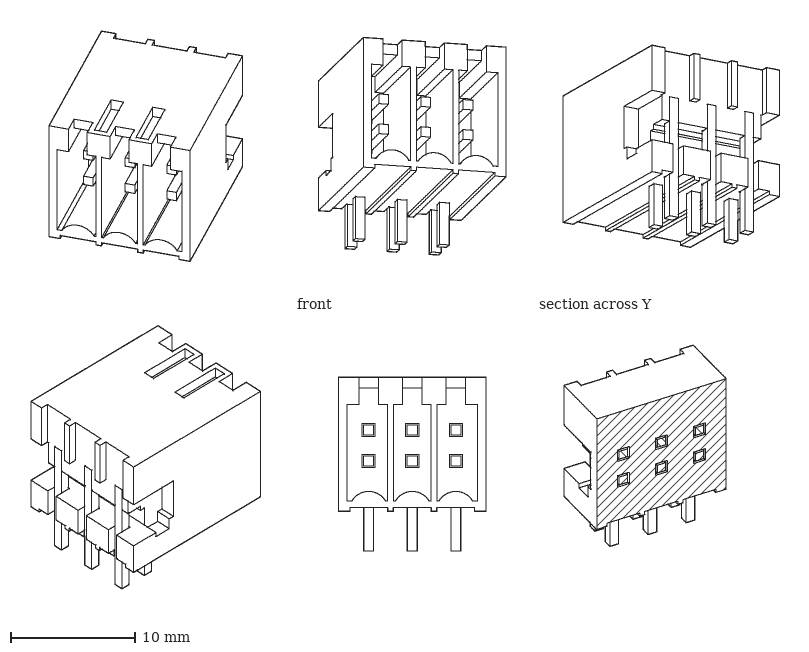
import cadquery as cq


WIDTH = 11.9
DEPTH = 14.2
TOTAL_HEIGHT = 14.0
HEIGHT = 10.8
PITCH = 3.51
POLE_X = [-PITCH, 0, PITCH]
DIVIDER_X = [-PITCH / 2, PITCH / 2]

SIDE_WALL = 0.7
DIVIDER_WALL = 0.5
CHAMBER_DEPTH = 8.52
FLOOR_Z = 0.82
SHOULDER_Z = 8.62
CEILING_Z = 9.94
CHANNEL_WIDTH = 1.58
ROOF_NOTCH_DEPTH = 1.5
BUMP_RADIUS = 1.58
BUMP_TOP_Z = 1.6

SLOT_WIDTH = 1.04
SLOT_LENGTH = 4.52
SLOT_DEPTH = 0.91
SLOT_FRONT_Y = 0.51

FOOT_HEIGHT = 0.3
OUTER_FOOT_WIDTH = 0.95
INNER_FOOT_WIDTH = 0.47

PIN_SIZE = 0.81
PIN_ROW_PITCH = 2.5
PIN_TIP_Y = 2.84
PIN_BOTTOM_Z = HEIGHT - TOTAL_HEIGHT
UPPER_PIN_Z = 6.56
PIN_RECESS_SIZE = 1.05
PIN_RECESS_DEPTH = 0.43

REAR_RECESS = 0.67
CORE_Y = DEPTH - REAR_RECESS
REAR_RECESS_WIDTH = 9.46
WINDOW_DEPTH = 1.33
REAR_RIB_WIDTH = 0.58
WINDOW_TOP_Z = 6.95
WINDOW_LEDGE_Z = 3.32
BLOCK_TOP_Z = 2.73
GROOVE_Z = 2.31
WINDOW_FRONT_Y = DEPTH - 4.46
LEDGE_REAR_Y = DEPTH - 3.99
BLOCK_FRONT_Y = DEPTH - 2.51
CORE_STEP_Y = DEPTH - 2.05
CORE_BOTTOM_Z = 4.9
CORE_STEP_Z = 4.49
LEG_SLOT_WIDTH = 0.97

UPPER_LEG_Y = CORE_Y - PIN_SIZE / 2
PIN_ROWS = [
    (UPPER_PIN_Z, UPPER_LEG_Y),
    (UPPER_PIN_Z - PIN_ROW_PITCH, UPPER_LEG_Y - PIN_ROW_PITCH),
]


def block(x_min, x_max, y_min, y_max, z_min, z_max):
    """Box between the given limits."""
    size = (x_max - x_min, y_max - y_min, z_max - z_min)
    return cq.Workplane("XY").box(*size, centered=False).translate((x_min, y_min, z_min))


def centred_block(x, width, y_min, y_max, z_min, z_max):
    """Box of a given width about x."""
    return block(x - width / 2, x + width / 2, y_min, y_max, z_min, z_max)


def side_prism(points, x_min, x_max):
    """Outline of (y, z) points, extruded from x_min to x_max."""
    return cq.Workplane("YZ").polyline(points).close().extrude(x_max - x_min).translate((x_min, 0, 0))


def pole_limits(pole_x, outer_margin, gap):
    """X limits of a pole's space, between the dividers or up to the margin at the outside."""
    left = pole_x - (PITCH - gap) / 2
    right = pole_x + (PITCH - gap) / 2
    if pole_x == POLE_X[0]:
        left = -WIDTH / 2 + outer_margin
    if pole_x == POLE_X[-1]:
        right = WIDTH / 2 - outer_margin
    return left, right


def pin(x, axis_z, leg_y):
    """Square pin: a straight mating end running back to a leg that points down."""
    half = PIN_SIZE / 2
    mating_end = centred_block(x, PIN_SIZE, PIN_TIP_Y, leg_y + half, axis_z - half, axis_z + half)
    leg = centred_block(x, PIN_SIZE, leg_y - half, leg_y + half, PIN_BOTTOM_Z, axis_z + half)
    return mating_end.union(leg)


def chamber(pole_x):
    """Open space of one pole: wide below, a narrow channel above, and a notch through the roof."""
    left, right = pole_limits(pole_x, SIDE_WALL, DIVIDER_WALL)
    wide = block(left, right, 0, CHAMBER_DEPTH, FLOOR_Z, SHOULDER_Z)
    bump = (
        cq.Workplane("XZ")
        .center(pole_x, BUMP_TOP_Z - BUMP_RADIUS)
        .circle(BUMP_RADIUS)
        .extrude(-CHAMBER_DEPTH)
    )
    channel = centred_block(pole_x, CHANNEL_WIDTH, 0, CHAMBER_DEPTH, SHOULDER_Z, CEILING_Z)
    notch = centred_block(pole_x, CHANNEL_WIDTH, 0, ROOF_NOTCH_DEPTH, CEILING_Z, HEIGHT)
    return wide.cut(bump).union(channel).union(notch)


def pin_recess(pole_x, axis_z):
    """Shallow square clearance in the chamber's end wall around a pin."""
    half = PIN_RECESS_SIZE / 2
    y_max = CHAMBER_DEPTH + PIN_RECESS_DEPTH
    return centred_block(pole_x, PIN_RECESS_SIZE, CHAMBER_DEPTH, y_max, axis_z - half, axis_z + half)


def roof_slot(divider_x):
    """Blind slot in the roof above a divider."""
    y_max = SLOT_FRONT_Y + SLOT_LENGTH
    return centred_block(divider_x, SLOT_WIDTH, SLOT_FRONT_Y, y_max, HEIGHT - SLOT_DEPTH, HEIGHT)


def foot_groove(pole_x):
    """Shallow groove along the underside, leaving feet beside it."""
    left, right = pole_limits(pole_x, OUTER_FOOT_WIDTH, INNER_FOOT_WIDTH)
    return block(left, right, 0, DEPTH, 0, FOOT_HEIGHT)


def rear_recess():
    """Recess across the rear of the core, with a rib left standing at each divider."""
    recess = centred_block(0, REAR_RECESS_WIDTH, CORE_Y, DEPTH, BLOCK_TOP_Z, HEIGHT)
    for divider_x in DIVIDER_X:
        recess = recess.cut(centred_block(divider_x, REAR_RIB_WIDTH, CORE_Y, DEPTH, WINDOW_TOP_Z, HEIGHT))
    return recess


def side_window(x_min, x_max):
    """Stepped pocket in a side wall, open to the rear, with a groove in its floor."""
    outline = [
        (DEPTH, WINDOW_TOP_Z),
        (WINDOW_FRONT_Y, WINDOW_TOP_Z),
        (WINDOW_FRONT_Y, WINDOW_LEDGE_Z),
        (LEDGE_REAR_Y, WINDOW_LEDGE_Z),
        (LEDGE_REAR_Y, GROOVE_Z),
        (BLOCK_FRONT_Y, GROOVE_Z),
        (BLOCK_FRONT_Y, BLOCK_TOP_Z),
        (DEPTH, BLOCK_TOP_Z),
    ]
    return side_prism(outline, x_min, x_max)


def rear_opening():
    """Stepped opening under the core and above the base block, right across the housing."""
    outline = [
        (DEPTH, CORE_BOTTOM_Z),
        (CORE_STEP_Y, CORE_BOTTOM_Z),
        (CORE_STEP_Y, CORE_STEP_Z),
        (BLOCK_FRONT_Y, CORE_STEP_Z),
        (BLOCK_FRONT_Y, BLOCK_TOP_Z),
        (DEPTH, BLOCK_TOP_Z),
    ]
    return side_prism(outline, -WIDTH / 2, WIDTH / 2)


def leg_slot(pole_x):
    """Slot in the base block, open to the rear, that clears the rear leg of a pole."""
    return centred_block(pole_x, LEG_SLOT_WIDTH, CORE_Y - PIN_SIZE, DEPTH, 0, BLOCK_TOP_Z)


pins = [pin(x, axis_z, leg_y) for x in POLE_X for axis_z, leg_y in PIN_ROWS]

housing = centred_block(0, WIDTH, 0, DEPTH, 0, HEIGHT)
housing = housing.cut(rear_recess()).cut(rear_opening())
housing = housing.cut(side_window(-WIDTH / 2, WINDOW_DEPTH - WIDTH / 2))
housing = housing.cut(side_window(WIDTH / 2 - WINDOW_DEPTH, WIDTH / 2))
for pole_x in POLE_X:
    housing = housing.cut(chamber(pole_x)).cut(foot_groove(pole_x)).cut(leg_slot(pole_x))
    for axis_z, _ in PIN_ROWS:
        housing = housing.cut(pin_recess(pole_x, axis_z))
for divider_x in DIVIDER_X:
    housing = housing.cut(roof_slot(divider_x))
for body in pins:
    housing = housing.cut(body)

result = cq.Compound.makeCompound([housing.val(), *[body.val() for body in pins]])